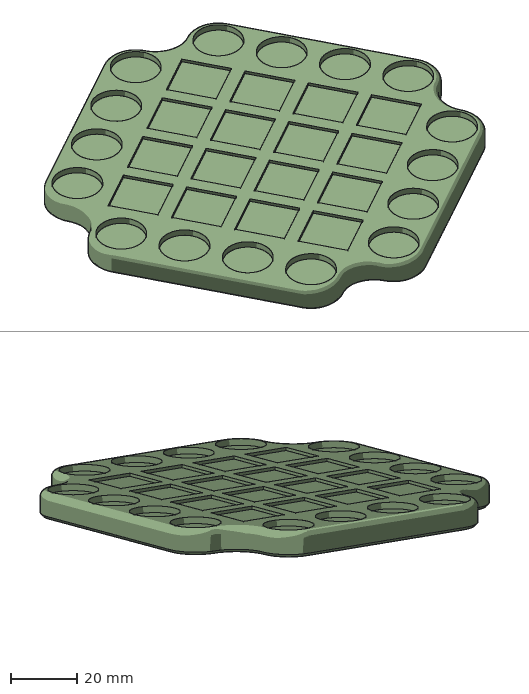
import cadquery as cq
import math

plate_size = 120.0
plate_height = 8.0
half_size = plate_size / 2

cells_per_side = 6
pitch = plate_size / cells_per_side
corner_radius = pitch / 2
center_inset = half_size - corner_radius
top_edge_radius = 2.2
bottom_edge_chamfer = 1.0

round_pocket_diameter = 15.4
round_pocket_depth = 2.0
square_pocket_side = 15.7
square_pocket_depth = 1.0
pockets_per_row = cells_per_side - 2


def make_plate():
    """Square plate whose corners are scooped, with rounded shoulders beside each scoop."""
    shoulder = half_size - pitch - corner_radius
    scoop_edge = half_size - pitch
    diagonal = corner_radius * math.sqrt(0.5)

    corner_points = [
        (half_size, shoulder),
        (center_inset + diagonal, shoulder + diagonal),
        (center_inset, scoop_edge),
        (center_inset - diagonal, center_inset - diagonal),
        (scoop_edge, center_inset),
        (shoulder + diagonal, center_inset + diagonal),
        (shoulder, half_size),
    ]

    def turned(point, quarter_turns):
        x, y = point
        for _ in range(quarter_turns):
            x, y = -y, x
        return x, y

    outline = cq.Workplane("XY").moveTo(*corner_points[0])
    for quarter_turns in range(4):
        start, *arc_points = [turned(point, quarter_turns) for point in corner_points]
        if quarter_turns > 0:
            outline = outline.lineTo(*start)
        for middle, end in zip(arc_points[0::2], arc_points[1::2]):
            outline = outline.threePointArc(middle, end)
    plate = outline.close().extrude(plate_height)

    plate = plate.faces(">Z").edges().fillet(top_edge_radius)
    return plate.faces("<Z").edges().chamfer(bottom_edge_chamfer)


def round_pockets():
    """One row of round pockets along each of the four sides."""
    centers = []
    for index in range(pockets_per_row):
        along = (index - (pockets_per_row - 1) / 2) * pitch
        for across in (-center_inset, center_inset):
            centers += [(along, across), (across, along)]
    floor = cq.Workplane("XY").workplane(offset=plate_height - round_pocket_depth)
    return floor.pushPoints(centers).circle(round_pocket_diameter / 2).extrude(round_pocket_depth)


def square_pockets():
    """Square grid of shallow square pockets in the middle of the plate."""
    floor = cq.Workplane("XY").workplane(offset=plate_height - square_pocket_depth)
    grid = floor.rarray(pitch, pitch, pockets_per_row, pockets_per_row)
    return grid.rect(square_pocket_side, square_pocket_side).extrude(square_pocket_depth)


result = make_plate().cut(round_pockets()).cut(square_pockets())